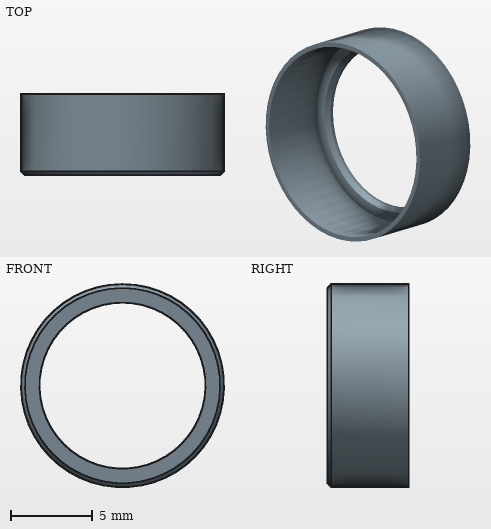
import cadquery as cq

outer_diameter = 12.47
lip_diameter = 10.16
bore_diameter = 11.91
width = 5.0
lip_land = 0.25
lip_bevel = 0.25
rim_chamfer = 0.25

outer_radius = outer_diameter / 2
lip_radius = lip_diameter / 2
bore_radius = bore_diameter / 2
front_y = -width / 2
back_y = width / 2
land_end_y = front_y + lip_land
lip_back_y = land_end_y + lip_bevel

wall_section = [
    (lip_radius, front_y),
    (outer_radius - rim_chamfer, front_y),
    (outer_radius, front_y + rim_chamfer),
    (outer_radius, back_y),
    (bore_radius, back_y),
    (bore_radius, lip_back_y),
    (lip_radius + lip_bevel, lip_back_y),
    (lip_radius, land_end_y),
]

section_plane = cq.Plane(origin=(0, 0, 0), xDir=(0, 0, 1), normal=(-1, 0, 0))
result = (
    cq.Workplane(section_plane)
    .polyline(wall_section)
    .close()
    .revolve(360, (0, 0, 0), (0, 1, 0))
)